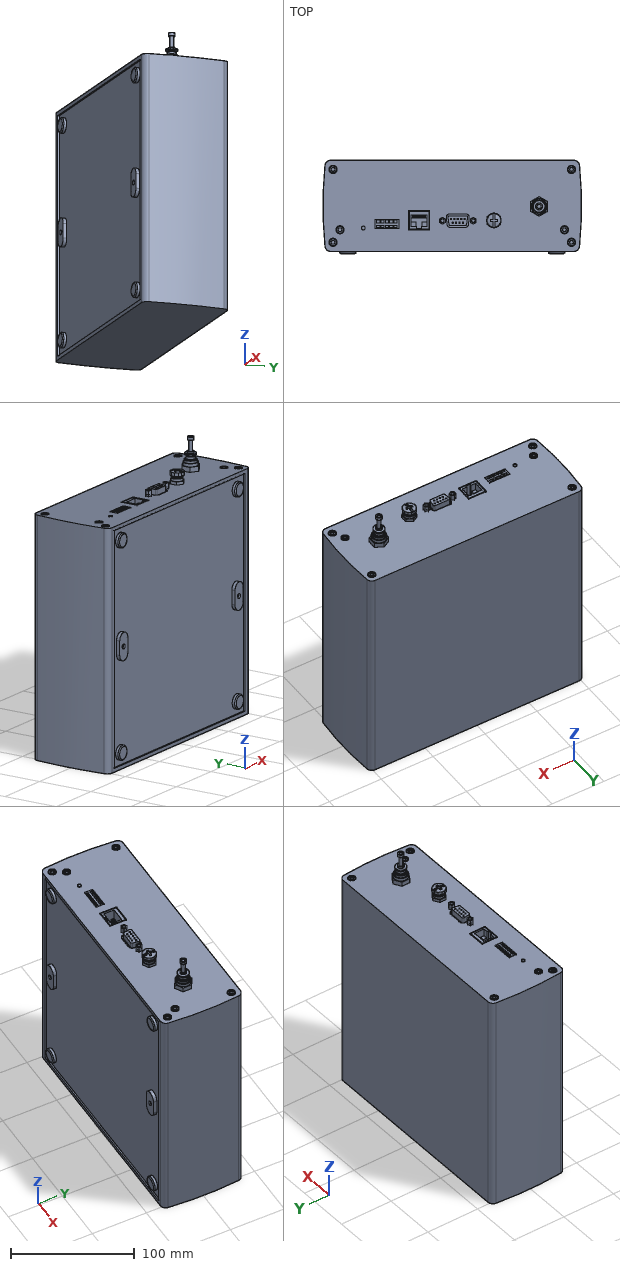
import cadquery as cq
import math

CASE_WIDTH = 209.5
CASE_DEPTH = 74.0
CASE_HEIGHT = 208.0
SIDE_BULGE = 2.1
CORNER_RADIUS = 5.0
BACK_Y = CASE_DEPTH / 2
FRONT_Y = -BACK_Y
TOP_Z = CASE_HEIGHT
MIDDLE_Z = CASE_HEIGHT / 2

RECESS_WIDTH = 190.0
RECESS_MARGIN = 3.3
RECESS_DEPTH = 1.5
RECESS_Y = FRONT_Y + RECESS_DEPTH

FOOT_DIAMETER = 12.7
FOOT_FACE_DIAMETER = 10.9
FOOT_HEIGHT = 3.3
FOOT_X = 84.7
FOOT_Z_OFFSET = 90.0

PAD_WIDTH = 11.8
PAD_LENGTH = 24.0
PAD_HEIGHT = 3.0
PAD_X = 83.8
PAD_HOLE_DIAMETER = 2.0
PAD_SINK_DIAMETER = 4.0
PAD_HOLE_DEPTH = 3.5

SCREW_HOLE_DIAMETER = 6.5
SCREW_HEAD_DIAMETER = 5.5
SCREW_SOCKET_DIAMETER = 3.0
SCREW_RECESS_DEPTH = 1.0
SCREW_X = 96.5
SCREW_Y = 29.5
INNER_SCREW_X = 90.9
INNER_SCREW_Y = -19.4

LAMP_X = -72.0
LAMP_Y = -18.0
LAMP_DIAMETER = 3.0
LAMP_DEPTH = 0.7

TERMINAL_X = -52.9
TERMINAL_Y = -14.6
TERMINAL_WIDTH = 19.5
TERMINAL_DEPTH = 7.5
TERMINAL_HEIGHT = 9.5
POLE_COUNT = 5
POLE_PITCH = 3.5
POLE_OPENING_WIDTH = 2.5
WIRE_OPENING = 2.4
WIRE_Y_OFFSET = 2.0
CLAMP_OPENING = 1.7
CLAMP_Y_OFFSET = -2.1
POLE_OPENING_DEPTH = 4.7

JACK_X = -27.0
JACK_Y = -11.5
JACK_WIDTH = 15.8
JACK_DEPTH = 14.2
JACK_HEIGHT = 14.2
JACK_CLEARANCE = 0.7
JACK_CAVITY_WIDTH = 12.7
JACK_CAVITY_BACK = 4.2
JACK_CAVITY_FRONT = -5.2
JACK_CAVITY_DEPTH = 11.8
JACK_LATCH_WIDTH = 4.2
JACK_LATCH_FRONT = -6.5
JACK_CONTACT_BAND = 2.5
JACK_CONTACT_DROP = 9.5
JACK_CONTACT_COUNT = 8
JACK_CONTACT_PITCH = 1.5
JACK_GROOVE_WIDTH = 0.7
JACK_LEDGE_WIDTH = 3.8
JACK_LEDGE_LENGTH = 3.5
JACK_LEDGE_DROP = 7.0

SERIAL_X = 4.5
SERIAL_Y = -12.0
SHELL_WIDTH = 16.3
SHELL_DEPTH = 8.0
SHELL_HEIGHT = 4.2
SHELL_TAPER = 1.2
SHELL_CORNER = 1.2
SHELL_GAP = 1.5
CONTACT_DIAMETER = 1.05
CONTACT_DEPTH = 2.4
CONTACT_PITCH = 2.75
CONTACT_ROWS = ((5, 1.5), (4, -1.7))
FLANGE_WIDTH = 31.0
FLANGE_DEPTH = 12.3
FLANGE_THICKNESS = 1.0
FLANGE_SINK = 1.2
STANDOFF_SPACING = 25.0
STANDOFF_FLATS = 4.7
STANDOFF_HEIGHT = 4.7
STANDOFF_HOLE_DIAMETER = 2.8
STANDOFF_HOLE_DEPTH = 3.5

FUSE_X = 33.7
FUSE_Y = -11.8
FUSE_NUT_FLATS = 10.9
FUSE_NUT_HEIGHT = 2.5
FUSE_NECK_DIAMETER = 10.0
FUSE_GROOVE_DIAMETER = 9.0
FUSE_GROOVE_BOTTOM = 4.7
FUSE_GROOVE_TOP = 5.7
FUSE_CAP_DIAMETER = 11.8
FUSE_DOME_DIAMETER = 10.9
FUSE_CAP_BOTTOM = 6.8
FUSE_CAP_RIM = 10.1
FUSE_CAP_TOP = 11.0
FUSE_GRIP_FLATS = 11.3
FUSE_SLOT_WIDTH = 1.7
FUSE_SLOT_DEPTH = 0.2
FUSE_CROSS_LENGTH = 5.7

FITTING_X = 70.3
FITTING_Y = -0.5
FITTING_NUT_FLATS = 13.7
FITTING_NUT_HEIGHT = 4.2
FITTING_STEPS = (
    (6.4, 6.8),
    (5.5, 8.7),
    (4.7, 9.7),
    (3.8, 11.8),
    (3.3, 12.5),
    (2.8, 13.2),
    (5.0, 14.5),
    (2.8, 15.8),
    (1.7, 25.5),
    (2.71, 28.0),
)
FITTING_SOCKET_DIAMETER = 3.3
FITTING_SOCKET_DEPTH = 1.0


def box_between(x_range, y_range, z_range):
    """Box given by its lowest and highest X, Y and Z."""
    (x0, x1), (y0, y1), (z0, z1) = x_range, y_range, z_range
    return cq.Workplane("XY").box(x1 - x0, y1 - y0, z1 - z0, centered=False).translate((x0, y0, z0))


def plate(x, y, width, depth, bottom, top):
    """Upright rectangular block centred on x, y."""
    return cq.Workplane("XY", origin=(x, y, bottom)).rect(width, depth).extrude(top - bottom)


def rod(x, y, diameter, bottom, top):
    """Upright cylinder on x, y."""
    return cq.Workplane("XY", origin=(x, y, bottom)).circle(diameter / 2).extrude(top - bottom)


def hex_prism(x, y, flats, bottom, top):
    """Upright hexagonal prism with its flats facing left and right."""
    corners = flats / math.cos(math.pi / 6)
    prism = cq.Workplane("XY").polygon(6, corners).extrude(top - bottom)
    return prism.rotate((0, 0, 0), (0, 0, 1), 30).translate((x, y, bottom))


def front_face(x, z, y):
    """Workplane parallel to the front face; extruding from it goes outward, toward -Y."""
    return cq.Workplane("XZ", origin=(x, y, z))


def case_block():
    """Box with bowed side walls and rounded upright corners."""
    bulge_x = CASE_WIDTH / 2
    corner_x = bulge_x - SIDE_BULGE
    outline = (
        cq.Workplane("XY")
        .moveTo(-corner_x, FRONT_Y)
        .lineTo(corner_x, FRONT_Y)
        .threePointArc((bulge_x, 0), (corner_x, BACK_Y))
        .lineTo(-corner_x, BACK_Y)
        .threePointArc((-bulge_x, 0), (-corner_x, FRONT_Y))
        .close()
    )
    return outline.extrude(CASE_HEIGHT).edges("|Z").fillet(CORNER_RADIUS)


def front_recess():
    return box_between(
        (-RECESS_WIDTH / 2, RECESS_WIDTH / 2),
        (FRONT_Y, RECESS_Y),
        (RECESS_MARGIN, CASE_HEIGHT - RECESS_MARGIN),
    )


def foot(x, z):
    edge = (FOOT_DIAMETER - FOOT_FACE_DIAMETER) / 2
    disc = front_face(x, z, RECESS_Y).circle(FOOT_DIAMETER / 2).extrude(FOOT_HEIGHT)
    return disc.faces("<Y").edges().chamfer(edge)


def mounting_pad(x):
    return front_face(x, MIDDLE_Z, RECESS_Y).slot2D(PAD_LENGTH, PAD_WIDTH, 90).extrude(PAD_HEIGHT)


def pad_hole(x):
    """Countersunk hole in the outer face of a mounting pad."""
    pad_face = RECESS_Y - PAD_HEIGHT
    bore = front_face(x, MIDDLE_Z, pad_face).circle(PAD_HOLE_DIAMETER / 2).extrude(-PAD_HOLE_DEPTH)
    sink_depth = (PAD_SINK_DIAMETER - PAD_HOLE_DIAMETER) / 2
    sink = cq.Solid.makeCone(
        PAD_SINK_DIAMETER / 2,
        PAD_HOLE_DIAMETER / 2,
        sink_depth,
        cq.Vector(x, pad_face, MIDDLE_Z),
        cq.Vector(0, 1, 0),
    )
    return bore.union(cq.Workplane(sink))


def screw_recess(x, y):
    """Ring gap round a flush screw head together with its socket."""
    floor = TOP_Z - SCREW_RECESS_DEPTH
    gap = rod(x, y, SCREW_HOLE_DIAMETER, floor, TOP_Z).cut(rod(x, y, SCREW_HEAD_DIAMETER, floor, TOP_Z))
    return gap.union(rod(x, y, SCREW_SOCKET_DIAMETER, floor, TOP_Z))


def make_case():
    case = case_block().cut(front_recess())
    for side in (-1, 1):
        case = case.union(mounting_pad(side * PAD_X)).cut(pad_hole(side * PAD_X))
        for end in (-1, 1):
            case = case.union(foot(side * FOOT_X, MIDDLE_Z + end * FOOT_Z_OFFSET))
            case = case.cut(screw_recess(side * SCREW_X, end * SCREW_Y))
        case = case.cut(screw_recess(side * INNER_SCREW_X, INNER_SCREW_Y))
    case = case.cut(rod(LAMP_X, LAMP_Y, LAMP_DIAMETER, TOP_Z - LAMP_DEPTH, TOP_Z))
    return case.cut(terminal_envelope()).cut(jack_opening()).cut(serial_opening())


def terminal_envelope():
    return plate(TERMINAL_X, TERMINAL_Y, TERMINAL_WIDTH, TERMINAL_DEPTH, TOP_Z - TERMINAL_HEIGHT, TOP_Z)


def make_terminal_block():
    """Block flush with the panel, with a wire and a clamp opening for each pole."""
    block = terminal_envelope()
    floor = TOP_Z - POLE_OPENING_DEPTH
    for pole in range(POLE_COUNT):
        x = TERMINAL_X + (pole - (POLE_COUNT - 1) / 2) * POLE_PITCH
        for offset, length in ((WIRE_Y_OFFSET, WIRE_OPENING), (CLAMP_Y_OFFSET, CLAMP_OPENING)):
            block = block.cut(plate(x, TERMINAL_Y + offset, POLE_OPENING_WIDTH, length, floor, TOP_Z))
    return block


def jack_opening():
    width = JACK_WIDTH + 2 * JACK_CLEARANCE
    depth = JACK_DEPTH + 2 * JACK_CLEARANCE
    return plate(JACK_X, JACK_Y, width, depth, TOP_Z - JACK_HEIGHT, TOP_Z)


def jack_cavity():
    """Plug cavity with a latch notch; a grooved contact band and two front ledges stand in it."""
    half_width = JACK_CAVITY_WIDTH / 2
    floor = TOP_Z - JACK_CAVITY_DEPTH
    back = JACK_Y + JACK_CAVITY_BACK
    front = JACK_Y + JACK_CAVITY_FRONT
    x_range = (JACK_X - half_width, JACK_X + half_width)
    cavity = box_between(x_range, (front, back), (floor, TOP_Z))
    cavity = cavity.cut(
        box_between(x_range, (back - JACK_CONTACT_BAND, back), (floor, TOP_Z - JACK_CONTACT_DROP))
    )
    for index in range(JACK_CONTACT_COUNT):
        groove_x = JACK_X + (index - (JACK_CONTACT_COUNT - 1) / 2) * JACK_CONTACT_PITCH
        groove_y = back - JACK_CONTACT_BAND / 2
        groove_top = TOP_Z - JACK_CONTACT_DROP
        cavity = cavity.union(
            plate(groove_x, groove_y, JACK_GROOVE_WIDTH, JACK_CONTACT_BAND, floor, groove_top)
        )
    for side in (-1, 1):
        ledge_x = JACK_X + side * (half_width - JACK_LEDGE_WIDTH / 2)
        ledge_y = front + JACK_LEDGE_LENGTH / 2
        ledge_top = TOP_Z - JACK_LEDGE_DROP
        cavity = cavity.cut(
            plate(ledge_x, ledge_y, JACK_LEDGE_WIDTH, JACK_LEDGE_LENGTH, floor, ledge_top)
        )
    latch_x = (JACK_X - JACK_LATCH_WIDTH / 2, JACK_X + JACK_LATCH_WIDTH / 2)
    return cavity.union(box_between(latch_x, (JACK_Y + JACK_LATCH_FRONT, front), (floor, TOP_Z)))


def make_network_jack():
    body = plate(JACK_X, JACK_Y, JACK_WIDTH, JACK_DEPTH, TOP_Z - JACK_HEIGHT, TOP_Z)
    return body.cut(jack_cavity())


FLANGE_TOP = TOP_Z - FLANGE_SINK
STANDOFF_XS = tuple(SERIAL_X + side * STANDOFF_SPACING / 2 for side in (-1, 1))


def d_prism(margin, bottom, top):
    """D-shaped prism, larger than the connector shell by the margin all round."""
    rear_x = SHELL_WIDTH / 2 + margin
    front_x = rear_x - SHELL_TAPER
    half_depth = SHELL_DEPTH / 2 + margin
    outline = [(-rear_x, half_depth), (rear_x, half_depth), (front_x, -half_depth), (-front_x, -half_depth)]
    prism = cq.Workplane("XY", origin=(SERIAL_X, SERIAL_Y, bottom)).polyline(outline).close()
    return prism.extrude(top - bottom).edges("|Z").fillet(SHELL_CORNER + margin)


def serial_flange():
    return plate(SERIAL_X, SERIAL_Y, FLANGE_WIDTH, FLANGE_DEPTH, FLANGE_TOP - FLANGE_THICKNESS, FLANGE_TOP)


def serial_opening():
    """D-shaped panel opening, the flange space behind it and the two standoff holes."""
    opening = serial_flange().union(d_prism(SHELL_GAP, FLANGE_TOP, TOP_Z))
    for x in STANDOFF_XS:
        opening = opening.union(hex_prism(x, SERIAL_Y, STANDOFF_FLATS, FLANGE_TOP, TOP_Z))
    return opening


def make_serial_connector():
    shell_top = TOP_Z + SHELL_HEIGHT
    connector = serial_flange().union(d_prism(0, FLANGE_TOP, shell_top))
    for count, row_offset in CONTACT_ROWS:
        for index in range(count):
            x = SERIAL_X + (index - (count - 1) / 2) * CONTACT_PITCH
            y = SERIAL_Y + row_offset
            connector = connector.cut(rod(x, y, CONTACT_DIAMETER, shell_top - CONTACT_DEPTH, shell_top))
    standoff_top = TOP_Z + STANDOFF_HEIGHT
    hole_floor = standoff_top - STANDOFF_HOLE_DEPTH
    for x in STANDOFF_XS:
        standoff = hex_prism(x, SERIAL_Y, STANDOFF_FLATS, FLANGE_TOP, standoff_top)
        hole = rod(x, SERIAL_Y, STANDOFF_HOLE_DIAMETER, hole_floor, standoff_top)
        connector = connector.union(standoff.cut(hole))
    return connector


def fuse_cap():
    """Domed cap with six grip flats and a cross slot."""
    radius = FUSE_CAP_DIAMETER / 2
    dome_rise = FUSE_CAP_TOP - FUSE_CAP_RIM
    dome_radius = FUSE_DOME_DIAMETER / 2
    mid_radius = dome_radius / 2
    mid_z = FUSE_CAP_TOP - dome_rise * (mid_radius / dome_radius) ** 2
    profile = (
        cq.Workplane("XZ")
        .moveTo(0, FUSE_CAP_BOTTOM)
        .lineTo(radius, FUSE_CAP_BOTTOM)
        .lineTo(radius, FUSE_CAP_RIM)
        .lineTo(dome_radius, FUSE_CAP_RIM)
        .threePointArc((mid_radius, mid_z), (0, FUSE_CAP_TOP))
        .close()
    )
    cap = profile.revolve(360, (0, 0, 0), (0, 1, 0))
    grip = hex_prism(0, 0, FUSE_GRIP_FLATS, FUSE_CAP_BOTTOM, FUSE_CAP_TOP).rotate((0, 0, 0), (0, 0, 1), 30)
    cap = cap.intersect(grip)
    slot_floor = FUSE_CAP_RIM - FUSE_SLOT_DEPTH
    cap = cap.cut(plate(0, 0, FUSE_SLOT_WIDTH, FUSE_CAP_DIAMETER, slot_floor, FUSE_CAP_TOP))
    return cap.cut(plate(0, 0, FUSE_CROSS_LENGTH, FUSE_SLOT_WIDTH, slot_floor, FUSE_CAP_TOP))


def make_fuse_holder():
    nut = hex_prism(0, 0, FUSE_NUT_FLATS, 0, FUSE_NUT_HEIGHT)
    neck = rod(0, 0, FUSE_NECK_DIAMETER, FUSE_NUT_HEIGHT, FUSE_CAP_BOTTOM)
    band = rod(0, 0, FUSE_NECK_DIAMETER, FUSE_GROOVE_BOTTOM, FUSE_GROOVE_TOP)
    core = rod(0, 0, FUSE_GROOVE_DIAMETER, FUSE_GROOVE_BOTTOM, FUSE_GROOVE_TOP)
    neck = neck.cut(band.cut(core))
    return nut.union(neck).union(fuse_cap()).translate((FUSE_X, FUSE_Y, TOP_Z))


def make_cable_fitting():
    """Hexagonal nut with a stack of turned steps, ending in a slim stem with a socketed head."""
    fitting = hex_prism(0, 0, FITTING_NUT_FLATS, 0, FITTING_NUT_HEIGHT)
    bottom = FITTING_NUT_HEIGHT
    for radius, top in FITTING_STEPS:
        fitting = fitting.union(rod(0, 0, 2 * radius, bottom, top))
        bottom = top
    socket = rod(0, 0, FITTING_SOCKET_DIAMETER, bottom - FITTING_SOCKET_DEPTH, bottom)
    return fitting.cut(socket).translate((FITTING_X, FITTING_Y, TOP_Z))


case = make_case()
terminal_block = make_terminal_block()
network_jack = make_network_jack()
serial_connector = make_serial_connector()
fuse_holder = make_fuse_holder()
cable_fitting = make_cable_fitting()

result = cq.Compound.makeCompound(
    [
        case.val(),
        terminal_block.val(),
        network_jack.val(),
        serial_connector.val(),
        fuse_holder.val(),
        cable_fitting.val(),
    ]
)